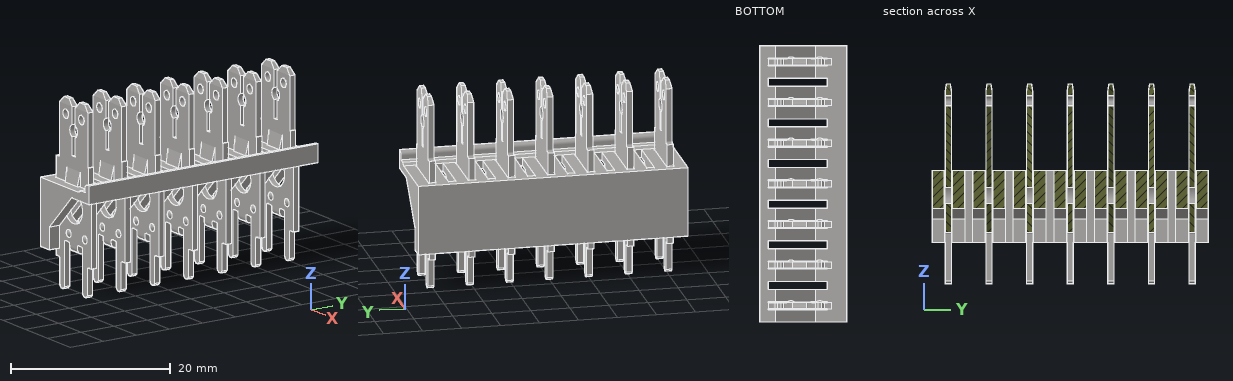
import cadquery as cq
import math


contact_count = 7
pitch = 5.1

housing_length = 34.6
housing_width = 10.9
wall_thickness = 2.0
wall_height = 9.03
deck_thickness = 1.07
gusset_height = 4.98
ledge_rise = 0.3
ledge_start = 8.95
ramp_start = 8.45
lip_width = 0.95
lip_top = 1.4
lip_radius = 0.55
slot_start = 1.07
slot_end = ramp_start
slot_width = 0.97

contact_thickness = 0.8
blade_axis = 4.98
contact_left = slot_start
neck_right = 8.3
body_right = 9.0
body_gap = 0.1
body_top = -deck_thickness - body_gap
body_bottom = -10.17
corner_radius = 0.2

contact_length = 25.0
prong_top = 10.83
shoulder_height = 2.85
prong_outer = 3.2
prong_gap = 0.62
prong_gap_bottom = 3.6
prong_chamfer = 0.85
prong_tip_thickness = 0.52
prong_hole_diameter = 1.2
prong_hole_offset = (prong_outer + prong_gap / 2) / 2
prong_hole_height = 8.72
relief_diameter = 1.7
relief_height = 6.85

leg_width = 1.1
leg_offset = pitch / 2
leg_bottom = prong_top - contact_length
leg_chamfer = 0.35
notch_top = -7.8

window_diameter = 4.0
window_height = -3.15
bump_diameter = 1.05
bump_rise = 0.25
bump_height = -6.68
bump_positions = (3.9, 7.5)
tab_width = 1.8
tab_bottom = -wall_height
tab_bend_radius = 0.75
barb_rise = 0.35
barb_height = 1.87
barb_base_width = 3.0
barb_tip_width = 2.7


def slab(points, thickness):
    """Extrude a closed XZ outline symmetrically about Y = 0."""
    return cq.Workplane("XZ").polyline(points).close().extrude(thickness / 2, both=True)


def box(x_min, x_max, y_size, z_min, z_max):
    """Block centred on Y = 0."""
    size = (x_max - x_min, y_size, z_max - z_min)
    return cq.Workplane("XY").box(*size, centered=(False, True, False)).translate((x_min, 0, z_min))


def row(count):
    """Y positions of evenly pitched items centred on the housing."""
    return [(i - (count - 1) / 2) * pitch for i in range(count)]


def make_housing():
    lip_left = housing_width - lip_width
    body = slab(
        [
            (0, 0),
            (ramp_start, 0),
            (ledge_start, ledge_rise),
            (lip_left, ledge_rise),
            (lip_left, lip_top),
            (housing_width, lip_top),
            (housing_width, -deck_thickness),
            (wall_thickness + gusset_height, -deck_thickness),
            (wall_thickness, -deck_thickness - gusset_height),
            (wall_thickness, -wall_height),
            (0, -wall_height),
        ],
        housing_length,
    )
    lip_edge = cq.selectors.NearestToPointSelector((lip_left, 0, lip_top))
    body = body.edges(lip_edge).fillet(lip_radius)

    slot = box(slot_start, slot_end, slot_width, -wall_height, lip_top)
    for y in row(contact_count) + row(contact_count - 1):
        body = body.cut(slot.translate((0, y, 0)))
    return body


def contact_blank():
    """Stamped blade outline with the prong shoulders, notch and two legs."""
    neck = box(contact_left, neck_right, contact_thickness, body_top, shoulder_height)
    body = box(contact_left, body_right, contact_thickness, body_bottom, body_top)
    prong_left = blade_axis - prong_outer
    prong_right = blade_axis + prong_outer
    prongs = box(prong_left, prong_right, contact_thickness, shoulder_height, prong_top)
    leg_left = blade_axis - leg_offset - leg_width / 2
    leg_right = blade_axis + leg_offset + leg_width / 2
    legs = box(leg_left, leg_right, contact_thickness, leg_bottom, body_bottom)
    notch_half = leg_offset - leg_width / 2
    notch = box(
        blade_axis - notch_half, blade_axis + notch_half, contact_thickness, leg_bottom, notch_top
    )
    tab = box(
        blade_axis - tab_width / 2, blade_axis + tab_width / 2, contact_thickness, tab_bottom, notch_top
    )
    blank = neck.union(body).union(prongs).union(legs).cut(notch).union(tab)

    inside_corners = [
        (prong_left, shoulder_height),
        (leg_left, body_bottom),
        (leg_right, body_bottom),
        (blade_axis - notch_half, notch_top),
        (blade_axis + notch_half, notch_top),
        (blade_axis - tab_width / 2, notch_top),
        (blade_axis + tab_width / 2, notch_top),
    ]
    for x, z in inside_corners:
        corner = cq.selectors.NearestToPointSelector((x, 0, z))
        blank = blank.edges(corner).fillet(corner_radius)

    bend = cq.selectors.NearestToPointSelector((blade_axis, -contact_thickness / 2, tab_bottom))
    blank = blank.edges(bend).fillet(tab_bend_radius)
    return chamfer_leg_tips(blank)


def chamfer_leg_tips(blank):
    for side in (-1, 1):
        for edge_side in (-1, 1):
            x = blade_axis + side * leg_offset + edge_side * leg_width / 2
            tip = cq.selectors.NearestToPointSelector((x, 0, leg_bottom))
            blank = blank.edges(tip).chamfer(leg_chamfer)
    return blank


def cut_round_hole(blank, x, z, diameter):
    hole = cq.Workplane("XZ").center(x, z).circle(diameter / 2)
    return blank.cut(hole.extrude(contact_thickness, both=True))


def shape_prongs(blank):
    """Split the prongs, taper their tips on all four sides and pierce them."""
    blank = blank.cut(
        box(
            blade_axis - prong_gap / 2,
            blade_axis + prong_gap / 2,
            contact_thickness,
            prong_gap_bottom,
            prong_top,
        )
    )
    taper_base = prong_top - prong_chamfer
    prong_width = prong_outer - prong_gap / 2
    tip_width = prong_width - 2 * prong_chamfer
    blank = blank.cut(box(0, housing_width, contact_thickness, taper_base, prong_top))
    for side in (-1, 1):
        x = blade_axis + side * prong_hole_offset
        tip = (
            cq.Workplane("XY", origin=(x, 0, taper_base))
            .rect(prong_width, contact_thickness)
            .workplane(offset=prong_chamfer)
            .rect(tip_width, prong_tip_thickness)
            .loft(ruled=True)
        )
        blank = blank.union(tip)
        blank = cut_round_hole(blank, x, prong_hole_height, prong_hole_diameter)
    return cut_round_hole(blank, blade_axis, relief_height, relief_diameter)


def make_bump(x):
    """Spherical cap raised on the front face."""
    base_radius = bump_diameter / 2
    sphere_radius = (base_radius**2 + bump_rise**2) / (2 * bump_rise)
    face_y = -contact_thickness / 2
    crest_y = face_y - bump_rise
    half_radius = base_radius / 2
    arc_depth = math.sqrt(sphere_radius**2 - half_radius**2)
    arc_middle = (half_radius, crest_y + sphere_radius - arc_depth)
    half_profile = (
        cq.Workplane("XY")
        .moveTo(0, crest_y)
        .threePointArc(arc_middle, (base_radius, face_y))
        .lineTo(0, face_y)
        .close()
    )
    bump = half_profile.revolve(360, (0, 0, 0), (0, 1, 0))
    return bump.translate((x, 0, bump_height))


def make_barb():
    """Wedge on the front face that widens downward and rests on the deck."""
    face_y = -contact_thickness / 2
    tip_y = face_y - barb_rise
    wedge = (
        cq.Workplane("YZ")
        .polyline([(face_y, 0), (tip_y, 0), (face_y, barb_height)])
        .close()
        .extrude(housing_width)
    )
    plan = (
        cq.Workplane("XY")
        .polyline(
            [
                (blade_axis - barb_base_width / 2, face_y),
                (blade_axis - barb_tip_width / 2, tip_y),
                (blade_axis + barb_tip_width / 2, tip_y),
                (blade_axis + barb_base_width / 2, face_y),
            ]
        )
        .close()
        .extrude(barb_height)
    )
    return wedge.intersect(plan)


def make_contact():
    contact = shape_prongs(contact_blank())
    contact = cut_round_hole(contact, blade_axis, window_height, window_diameter)
    for x in bump_positions:
        contact = contact.union(make_bump(x))
    return contact.union(make_barb())


housing = make_housing()
contact = make_contact()
contacts = [contact.translate((0, y, 0)) for y in row(contact_count)]

result = cq.Compound.makeCompound([housing.solids().val(), *[c.solids().val() for c in contacts]])